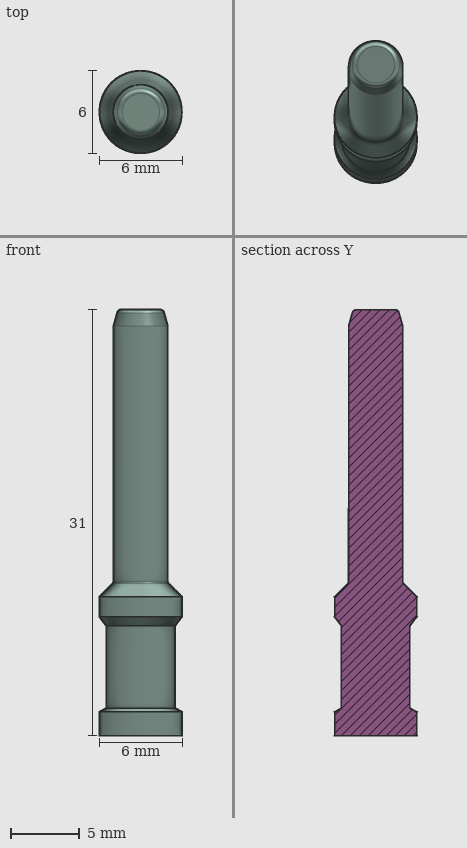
import cadquery as cq

collar_radius = 3.0
barrel_radius = 2.5
pin_radius = 1.98
tip_shoulder_radius = 1.65

base_cylinder_top = 1.75
base_flange_top = 2.0
collar_bottom = 8.0
collar_lower_edge = 8.65
collar_upper_edge = 10.1
tip_bottom = 29.8
total_height = 31.0

collar_top = collar_upper_edge + collar_radius - pin_radius

tip_fillet = 0.37
collar_fillet = 0.15


def edge_at_height(solid, height):
    """Select the circular edge that lies at the given height."""
    tolerance = 0.003
    limit = collar_radius + 0.3
    box = cq.selectors.BoxSelector(
        (-limit, -limit, height - tolerance),
        (limit, limit, height + tolerance),
        boundingbox=True,
    )
    return solid.edges(box).edges("%CIRCLE")


profile = (
    cq.Workplane("XZ")
    .moveTo(0, 0)
    .lineTo(collar_radius, 0)
    .lineTo(collar_radius, base_cylinder_top)
    .lineTo(barrel_radius, base_flange_top)
    .lineTo(barrel_radius, collar_bottom)
    .lineTo(collar_radius, collar_lower_edge)
    .lineTo(collar_radius, collar_upper_edge)
    .lineTo(pin_radius, collar_top)
    .lineTo(pin_radius, tip_bottom)
    .lineTo(tip_shoulder_radius, total_height)
    .lineTo(0, total_height)
    .close()
)
body = profile.revolve(360, (0, 0, 0), (0, 1, 0))

body = edge_at_height(body, total_height).fillet(tip_fillet)
result = edge_at_height(body, collar_top).fillet(collar_fillet)